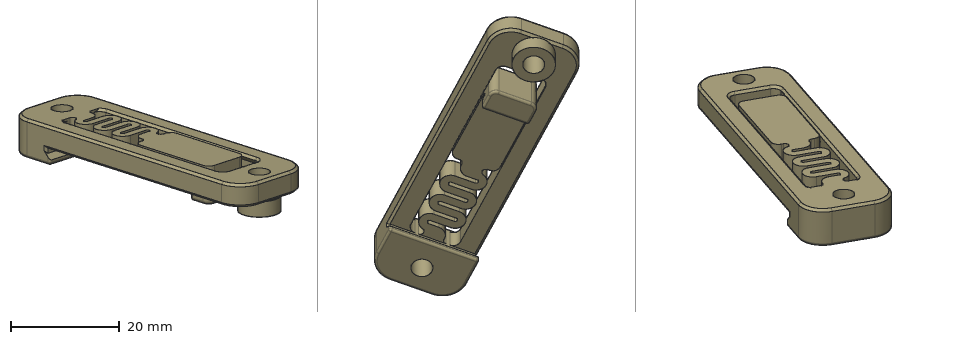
import cadquery as cq
import math

length = 60.0
width = 18.0
height = 7.5
corner_radius = 4.8
frame_bottom = 3.0
edge_break = 0.5
x_left = -length / 2
x_right = length / 2

window_left = -20.2
window_right = 21.5
window_width = 9.95
window_corner = 1.5
groove_depth = 1.0

foot_hook_reach = 1.0
foot_hook_tip_top = 0.95
foot_top = (frame_bottom + height) / 2

plate_left = -1.55
plate_right = 17.65
plate_width = 9.5
plate_corner = 1.5
catch_tip = 12.9
catch_tip_top = 1.4
catch_slope = 1.15
catch_neck = 14.3

spring_middle = (window_left + plate_left) / 2
half_pitch = 2.4
upper_bends = 3
slot_radius = 0.4
bend_radius = half_pitch - slot_radius
bend_height = 2.05
relief_radius = 0.7

hole_diameter = 4.0
left_hole_x = -25.0
boss_diameter = 8.0
boss_x = x_right - boss_diameter / 2


def rounded_block(x_min, x_max, y_size, z_min, z_max, radius):
    """Block centred on Y = 0 with rounded vertical edges."""
    return (
        cq.Workplane("XY", origin=((x_min + x_max) / 2, 0, z_min))
        .rect(x_max - x_min, y_size)
        .extrude(z_max - z_min)
        .edges("|Z")
        .fillet(radius)
    )


def side_profile(points, y_size):
    """Extrude an XZ outline symmetrically about Y = 0."""
    return cq.Workplane("XZ").polyline(points).close().extrude(y_size / 2, both=True)


def upright_edges(x, z):
    """Select the vertical edges that pass through a given X and height."""
    reach = 0.005
    return cq.selectors.BoxSelector((x - reach, -width, z - reach), (x + reach, width, z + reach))


def make_guide_grooves():
    """Bar across the window that cuts a groove into both long walls, beside and beyond the plate."""
    mouth = window_width / 2
    back = mouth + groove_depth
    low = frame_bottom + edge_break
    high = height - edge_break
    outline = [
        (-mouth, low),
        (mouth, low),
        (back, low + groove_depth),
        (back, high - groove_depth),
        (mouth, high),
        (-mouth, high),
        (-back, high - groove_depth),
        (-back, low + groove_depth),
    ]
    groove_left = plate_left + plate_corner
    groove_length = window_right - window_corner - groove_left
    start = cq.Workplane("YZ", origin=(groove_left, 0, 0))
    return start.polyline(outline).close().extrude(groove_length)


def make_frame():
    frame = rounded_block(x_left, x_right, width, frame_bottom, height, corner_radius)
    frame = frame.faces("<Z or >Z").edges().chamfer(edge_break)
    window = rounded_block(
        window_left, window_right, window_width, frame_bottom, height, window_corner
    )
    flare = rounded_block(
        window_left - edge_break,
        window_right + edge_break,
        window_width + 2 * edge_break,
        height - edge_break,
        height + edge_break,
        window_corner + edge_break,
    )
    flare = flare.faces("<Z").edges().chamfer(edge_break)
    left_of_window = cq.Workplane("XY").box(length, width, height)
    left_of_window = left_of_window.translate((window_left - length / 2, 0, height))
    return frame.cut(window).cut(flare.cut(left_of_window)).cut(make_guide_grooves())


def make_foot():
    hook_tip = window_left + foot_hook_reach
    hook_root_z = foot_hook_tip_top + foot_hook_reach
    foot = side_profile(
        [
            (x_left, 0),
            (hook_tip, 0),
            (hook_tip, foot_hook_tip_top),
            (window_left, hook_root_z),
            (window_left, foot_top),
            (x_left, foot_top),
        ],
        width,
    )
    foot = foot.edges("|Z and <X").fillet(corner_radius)
    foot = foot.edges(upright_edges(window_left, (hook_root_z + foot_top) / 2)).chamfer(edge_break)
    foot = foot.edges(upright_edges(hook_tip, foot_hook_tip_top / 2)).fillet(edge_break)
    return foot.faces("<Z").edges().fillet(edge_break)


def make_plate():
    plate = rounded_block(plate_left, plate_right, plate_width, frame_bottom, height, plate_corner)
    ledge_z = catch_tip_top + catch_slope
    catch = side_profile(
        [
            (catch_tip, 0),
            (plate_right, 0),
            (plate_right, height),
            (catch_neck, height),
            (catch_neck, ledge_z),
            (catch_tip + catch_slope, ledge_z),
            (catch_tip, catch_tip_top),
        ],
        plate_width,
    )
    catch = catch.edges("|Z and >X").fillet(plate_corner)
    catch = catch.edges(upright_edges(catch_tip, catch_tip_top / 2)).fillet(edge_break)
    catch = catch.faces("<Z").edges().fillet(edge_break)
    return plate.union(catch)


def add_spring_edge(outline, turn):
    """Draw the spring edge from one end wall to the other about the spring middle.

    turn = 1 gives the upper edge, left to right; turn = -1 gives it after a half turn.
    """

    def at(x, y):
        return (turn * x, turn * y)

    def arc(path, centre, radius, start, end):
        """Arc between two angles given in degrees."""
        stops = [math.radians((start + end) / 2), math.radians(end)]
        via, stop = [
            at(centre[0] + radius * math.cos(a), centre[1] + radius * math.sin(a)) for a in stops
        ]
        return path.threePointArc(via, stop)

    wall = (plate_left - window_left) / 2
    last_bend = (upper_bends - 0.5) * half_pitch
    neck = last_bend + half_pitch

    relief_x = relief_radius - wall
    relief_y = bend_radius + relief_radius
    outline = outline.lineTo(*at(-wall, relief_y))
    outline = arc(outline, (relief_x, relief_y), relief_radius, 180, 270)
    outline = outline.lineTo(*at(-neck, bend_radius))
    outline = arc(outline, (-neck, 0), bend_radius, 90, 0)

    relief_run = wall - relief_radius - last_bend
    contact = math.degrees(math.acos(relief_run / (bend_radius + relief_radius)))
    for bend_number in range(upper_bends):
        slot_x = -last_bend + 2 * half_pitch * bend_number
        bend_x = slot_x + half_pitch
        bend_end = contact if bend_number == upper_bends - 1 else 0
        outline = outline.lineTo(*at(slot_x - slot_radius, -bend_height))
        outline = arc(outline, (slot_x, -bend_height), slot_radius, 180, 360)
        outline = outline.lineTo(*at(bend_x - bend_radius, bend_height))
        outline = arc(outline, (bend_x, bend_height), bend_radius, 180, bend_end)

    relief_rise = math.sqrt((bend_radius + relief_radius) ** 2 - relief_run**2)
    relief_centre = (wall - relief_radius, bend_height + relief_rise)
    return arc(outline, relief_centre, relief_radius, 180 + contact, 360)


def make_spring():
    outline = cq.Workplane("XY", origin=(spring_middle, 0, frame_bottom))
    outline = outline.moveTo(window_left - spring_middle, 0)
    outline = add_spring_edge(outline, 1)
    outline = add_spring_edge(outline, -1)
    return outline.close().extrude(height - frame_bottom)


def upright_cylinder(x, diameter, top):
    return cq.Workplane("XY").center(x, 0).circle(diameter / 2).extrude(top)


result = make_frame().union(make_foot()).union(make_spring()).union(make_plate())
result = result.union(upright_cylinder(boss_x, boss_diameter, frame_bottom))
for hole_x in (left_hole_x, boss_x):
    result = result.cut(upright_cylinder(hole_x, hole_diameter, height))